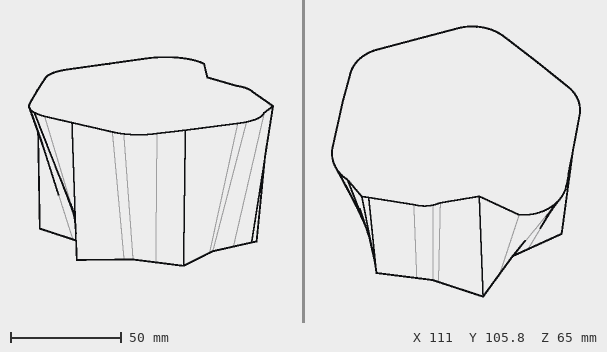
import cadquery as cq

height = 65.0

base_tips = [
    (50.0, 0.0),
    (25.0, 43.3),
    (-25.0, 43.3),
    (-50.0, 0.0),
    (-24.9, -43.4),
    (26.0, -42.9),
]
base_notches = [
    (33.0, 19.5),
    (-0.5, 40.4),
    (-31.9, 17.9),
    (-28.4, -19.5),
    (3.7, -31.0),
    (33.4, -18.6),
]

top_side_points = [
    (52.6, 0.0),
    (30.2, 49.4),
    (-21.0, 35.3),
    (-55.2, 0.0),
    (-26.6, -44.0),
    (25.3, -44.9),
]
top_corners = [
    ((50.3, 25.6), (38.9, 42.1), 19.0),
    ((6.4, 47.6), (-4.9, 43.5), 15.0),
    ((-41.0, 40.5), (-57.4, 18.7), 19.7),
    ((-52.9, -19.6), (-42.5, -35.0), 18.5),
    ((-8.4, -53.8), (12.1, -53.6), 21.0),
    ((44.5, -32.2), (53.3, -13.9), 18.5),
]


def base_outline():
    """Star outline alternating between tips and notches."""
    points = []
    for tip, notch in zip(base_tips, base_notches):
        points += [tip, notch]
    return cq.Workplane("XY").polyline(points).close().wire().val()


def top_outline():
    """Closed outline of straight sides joined by outward-bulging corner arcs."""
    outline = cq.Workplane("XY", origin=(0, 0, height)).moveTo(*top_side_points[0])
    next_points = top_side_points[1:] + top_side_points[:1]
    for (arc_start, arc_end, radius), next_point in zip(top_corners, next_points):
        outline = outline.lineTo(*arc_start).radiusArc(arc_end, -radius).lineTo(*next_point)
    return outline.close().wire().val()


ruled = True
body = cq.Solid.makeLoft([base_outline(), top_outline()], ruled)

result = cq.Workplane(body)